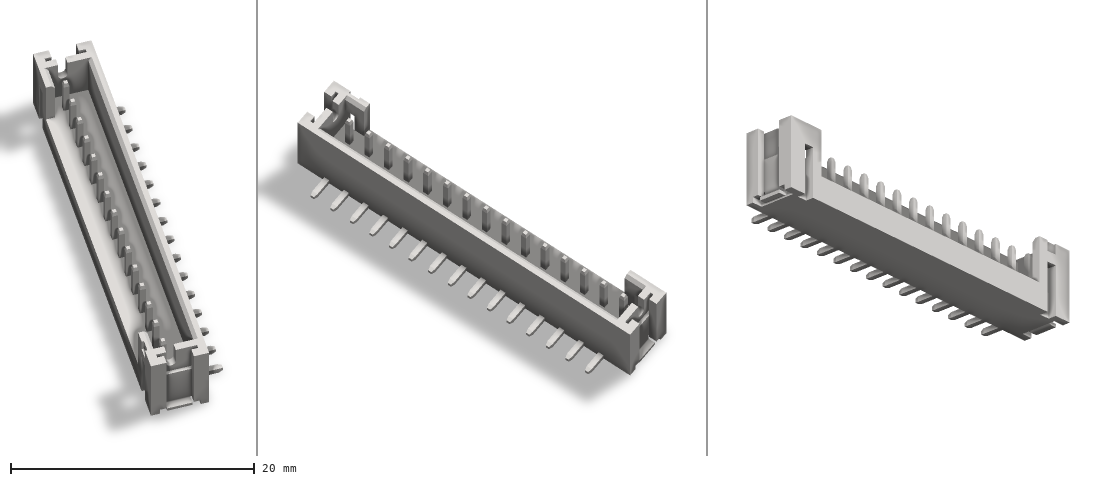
import cadquery as cq


length = 33.95
depth = 5.0
height = 6.6
end_x = length / 2

floor_z = 2.35
wall = 0.78
end_wall = 1.7
rim_chamfer = 0.3
window_inset = 3.65

front_slot_width = 1.0
front_slot_height = 4.62
mark_height = 1.0
mark_depth = 0.2

clip_y = 2.5
clip_thickness = 0.3
clip_seat = 0.75
clip_back = clip_seat + clip_thickness
plate_width = 3.5
recess_width = 2.35
relief_height = 0.5

notch_width = 0.8
notch_y = 2.05
notch_bottom_z = 4.7

plate_top_z = 4.0
neck_width = 2.17
neck_top_z = 1.02
foot_inset = 0.12
bend_inner_radius = 0.1

pin_count = 15
row_span = 28.0
pin_width = 0.5
pin_tip_width = 0.323
pin_taper = 0.37
pin_y = 1.9
pin_top_z = 5.8
tail_length = 2.0

pitch = row_span / (pin_count - 1)
first_pin_x = -row_span / 2
left, right = -1, 1
sides = (left, right)


def block(x_range, y_range, z_range):
    """Box spanning the given ranges."""
    x0, x1 = x_range
    y0, y1 = y_range
    z0, z1 = z_range
    return cq.Workplane("XY").box(x1 - x0, y1 - y0, z1 - z0, centered=False).translate((x0, y0, z0))


def end_block(side, inset_range, y_range, z_range):
    """Box at one end, its X range given as distances inward from the housing end."""
    near, far = inset_range
    x_range = sorted((side * (end_x - near), side * (end_x - far)))
    return block(x_range, y_range, z_range)


def centred_range(centre, width):
    return (centre - width / 2, centre + width / 2)


def cavity():
    """Open-topped cavity with a chamfered lead-in along its front and rear rims."""
    back_y = depth - wall
    chamfer_z = height - rim_chamfer
    profile = [
        (wall, floor_z),
        (wall, chamfer_z),
        (wall - rim_chamfer, height),
        (back_y + rim_chamfer, height),
        (back_y, chamfer_z),
        (back_y, floor_z),
    ]
    cavity_half = end_x - end_wall
    return cq.Workplane("YZ").polyline(profile).close().extrude(cavity_half, both=True)


def front_window():
    """Opening in the front wall down to the cavity floor."""
    window_half = end_x - window_inset
    return block((-window_half, window_half), (0, wall), (floor_z, height))


def front_slot(side):
    """Slot rising from the board through the front wall, in line with the cavity end."""
    return end_block(side, (end_wall, end_wall + front_slot_width), (0, wall), (0, front_slot_height))


def pin_one_mark():
    """Shallow open-topped pocket in the front face."""
    mark_x = (end_wall, end_wall + front_slot_width)
    return end_block(right, mark_x, (0, mark_depth), (height - mark_height, height))


def clip_seat_cut(side):
    """Plate slot, the recess that opens it outward, and the relief under the housing end."""
    plate_y = centred_range(clip_y, plate_width)
    recess_y = centred_range(clip_y, recess_width)
    slot = end_block(side, (clip_seat, clip_back), plate_y, (0, height))
    recess = end_block(side, (0, clip_seat), recess_y, (0, height))
    relief = end_block(side, (0, clip_seat), plate_y, (0, relief_height))
    return slot.union(recess).union(relief)


def end_notch(side):
    """Round-bottomed notch from the plate slot into the cavity."""
    radius = notch_width / 2
    arc_z = notch_bottom_z + radius
    x_start = min(side * (end_x - clip_back), side * (end_x - end_wall))
    return (
        cq.Workplane("YZ", origin=(x_start, 0, 0))
        .moveTo(notch_y - radius, height)
        .lineTo(notch_y - radius, arc_z)
        .threePointArc((notch_y, notch_bottom_z), (notch_y + radius, arc_z))
        .lineTo(notch_y + radius, height)
        .close()
        .extrude(end_wall - clip_back)
    )


def square_pin(plane, pin_length):
    """Square pin with a tapered tip, growing from the plane origin along its normal."""
    shank_length = pin_length - pin_taper
    shank = cq.Workplane(plane).rect(pin_width, pin_width).extrude(shank_length)
    tip = (
        cq.Workplane(plane)
        .workplane(offset=shank_length)
        .rect(pin_width, pin_width)
        .workplane(offset=pin_taper)
        .rect(pin_tip_width, pin_tip_width)
        .loft()
    )
    return shank.union(tip)


def build_housing():
    """Housing with its moulded-in pins: contacts stand in the cavity, tails leave at the rear."""
    body = block((-end_x, end_x), (0, depth), (0, height))
    body = body.cut(cavity()).cut(front_window()).cut(pin_one_mark())
    for side in sides:
        body = body.cut(front_slot(side)).cut(clip_seat_cut(side)).cut(end_notch(side))
    for index in range(pin_count):
        x = first_pin_x + index * pitch
        contact_base = cq.Plane((x, pin_y, floor_z), normal=(0, 0, 1))
        tail_base = cq.Plane((x, depth, pin_width / 2), normal=(0, 1, 0))
        contact = square_pin(contact_base, pin_top_z - floor_z)
        tail = square_pin(tail_base, tail_length)
        body = body.union(contact).union(tail)
    return body


def build_clip(side):
    """Upright plate on a narrow neck that bends outward into the solder foot."""
    plate = end_block(
        side, (clip_seat, clip_back), centred_range(clip_y, plate_width), (neck_top_z, plate_top_z)
    )
    toe_x = side * (end_x - foot_inset)
    outer_x = side * (end_x - clip_seat)
    inner_x = side * (end_x - clip_back)
    bend_x = outer_x + side * bend_inner_radius
    bend_z = clip_thickness + bend_inner_radius
    bend_outer = bend_inner_radius + clip_thickness
    strip = (
        cq.Workplane("XZ", origin=(0, clip_y, 0))
        .moveTo(toe_x, 0)
        .lineTo(bend_x, 0)
        .radiusArc((inner_x, bend_z), side * bend_outer)
        .lineTo(inner_x, neck_top_z)
        .lineTo(outer_x, neck_top_z)
        .lineTo(outer_x, bend_z)
        .radiusArc((bend_x, clip_thickness), -side * bend_inner_radius)
        .lineTo(toe_x, clip_thickness)
        .close()
        .extrude(neck_width / 2, both=True)
    )
    return plate.union(strip)


housing = build_housing()
clips = [build_clip(side) for side in sides]

result = cq.Compound.makeCompound([housing.val(), *[clip.val() for clip in clips]])